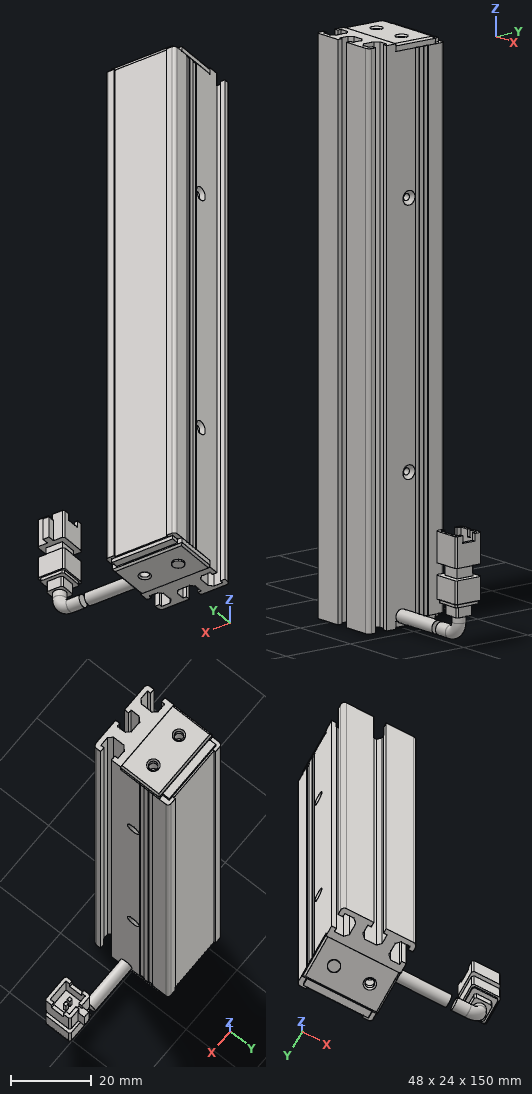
import cadquery as cq
import math


overall_length = 150.0
overall_width = 48.0
overall_depth = 24.0
end_screw_stand_out = 0.5

housing_length = overall_length - end_screw_stand_out
housing_width = 21.0
half_width = housing_width / 2
rear_corner_radius = 1.0
front_corner_radius = 0.9

cap_thickness = 2.0
cap_rear_y = 8.7
cap_front_y = 21.0
cap_chamfer = 0.52
cap_hole_pitch = 10.0
cap_hole_y = 14.7
cap_hole_diameter = 2.4
cap_hole_mouth_diameter = 3.3
cap_hole_depth = 6.0
drill_point_angle = 118

window_width = 18.3
window_front_y = 23.1
window_opening_width = 15.8
window_rib_height = 0.5
window_end_reach = 1.0

slot_opening = 3.5
slot_inner_width = 5.4
slot_lip = 1.4
slot_depth = 5.0
slot_corner_chamfer = 1.0
side_slot_y = 4.0

groove_width = 1.4
groove_depth = 0.3
groove_centres_y = (15.5, 18.2)

cross_hole_y = 12.8
cross_hole_pitch = 70.0
cross_hole_diameter = 1.8
cross_hole_mouth_diameter = 3.8
cross_hole_middle_z = 74.5

cable_diameter = 3.6
cable_y = 10.5
cable_z = 3.2
cable_break_start_x = 24.9
cable_break_end_x = 26.4
cable_bend_radius = 3.2
cable_sleeve_length = 1.8
bend_end_z = cable_z + cable_bend_radius

plug_start_z = bend_end_z + cable_sleeve_length
plug_width = 8.1
plug_x = overall_width - half_width - plug_width / 2
plug_corner_chamfer = 0.5
strain_relief_width = 5.0
strain_relief_height = 3.0
collar_width = 7.2
collar_height = 0.9
rear_block_height = 6.2
neck_width = 5.0
neck_height = 3.2
front_block_height = 8.1
socket_width = 6.2
socket_depth = 6.8
socket_slot_depth = 2.0
side_slot_width = 3.8
key_slot_width = 1.0
latch_width = 1.8
latch_stand_out = 2.0
pin_size = 0.9
pin_pitch = 1.5
pin_height = 3.8


def box(width, depth, height, x, y, z):
    """Block centred on (x, y) that rises from z."""
    return cq.Workplane("XY").box(width, depth, height, centered=(True, True, False)).translate((x, y, z))


def t_slot():
    """T-slot cutter that opens toward -Y at y = 0, centred on x = 0."""
    half_opening = slot_opening / 2
    half_inner = slot_inner_width / 2
    return (
        cq.Workplane("XY")
        .moveTo(-half_opening, 0)
        .lineTo(-half_opening, slot_lip)
        .lineTo(-half_inner, slot_lip)
        .lineTo(-half_inner, slot_depth - slot_corner_chamfer)
        .lineTo(-half_inner + slot_corner_chamfer, slot_depth)
        .lineTo(half_inner - slot_corner_chamfer, slot_depth)
        .lineTo(half_inner, slot_depth - slot_corner_chamfer)
        .lineTo(half_inner, slot_lip)
        .lineTo(half_opening, slot_lip)
        .lineTo(half_opening, 0)
        .close()
        .extrude(housing_length)
    )


def countersink(mouth_diameter, hole_diameter):
    """45-degree cone that narrows from its mouth at z = 0 down to the hole diameter."""
    depth = (mouth_diameter - hole_diameter) / 2
    return cq.Solid.makeCone(hole_diameter / 2, mouth_diameter / 2, depth, pnt=cq.Vector(0, 0, -depth))


def cross_hole(z):
    """Hole across the housing along X, countersunk at both sides."""
    hole = cq.Workplane("YZ").center(cross_hole_y, z).circle(cross_hole_diameter / 2)
    cutter = hole.extrude(half_width, both=True)
    cone = countersink(cross_hole_mouth_diameter, cross_hole_diameter)
    for side in (-1, 1):
        mouth = cone.rotate(cq.Vector(0, 0, 0), cq.Vector(0, 1, 0), side * 90)
        cutter = cutter.union(cq.Workplane(mouth.translate(cq.Vector(side * half_width, cross_hole_y, z))))
    return cutter


def drilled_hole():
    """Blind countersunk hole with a drill point, running down from z = 0."""
    radius = cap_hole_diameter / 2
    mouth_radius = cap_hole_mouth_diameter / 2
    point_length = radius / math.tan(math.radians(drill_point_angle / 2))
    return (
        cq.Workplane("XZ")
        .lineTo(mouth_radius, 0)
        .lineTo(radius, radius - mouth_radius)
        .lineTo(radius, -cap_hole_depth)
        .lineTo(0, -cap_hole_depth - point_length)
        .close()
        .revolve(360, (0, 0, 0), (0, 1, 0))
    )


def end_holes():
    """Blind holes in both ends, through the caps and into the housing."""
    upper = drilled_hole()
    lower = upper.mirror("XY")
    holes = cq.Workplane("XY")
    for side in (-1, 1):
        x = side * cap_hole_pitch / 2
        holes = holes.add(upper.translate((x, cap_hole_y, housing_length)))
        holes = holes.add(lower.translate((x, cap_hole_y, 0)))
    return holes.combine()


def housing_blank():
    """Full-length bar with all four long edges rounded."""
    bar = box(housing_width, overall_depth, housing_length, 0, overall_depth / 2, 0)
    bar = bar.edges("|Z and <Y").fillet(rear_corner_radius)
    return bar.edges("|Z and >Y").fillet(front_corner_radius)


def window_seat():
    """Cutter for the seat of the window and for the opening between the two front lips."""
    seat_depth = window_front_y - cap_front_y
    opening_depth = overall_depth - cap_front_y
    seat = box(window_width, seat_depth, housing_length, 0, cap_front_y + seat_depth / 2, 0)
    opening = box(
        window_opening_width, opening_depth, housing_length, 0, cap_front_y + opening_depth / 2, 0
    )
    return seat.union(opening)


def end_step(z):
    """Cutter that sets the front part of one housing end back to make room for a cap."""
    depth = overall_depth - cap_rear_y
    return box(housing_width, depth, cap_thickness, 0, cap_rear_y + depth / 2, z)


def make_housing():
    body = housing_blank().cut(window_seat())
    for z in (0, housing_length - cap_thickness):
        body = body.cut(end_step(z))

    slot = t_slot()
    body = body.cut(slot)
    for side in (-1, 1):
        turned_slot = slot.rotate((0, 0, 0), (0, 0, 1), side * 90)
        body = body.cut(turned_slot.translate((side * half_width, side_slot_y, 0)))
        for y in groove_centres_y:
            body = body.cut(box(2 * groove_depth, groove_width, housing_length, side * half_width, y, 0))
        body = body.cut(cross_hole(cross_hole_middle_z + side * cross_hole_pitch / 2))
    return body.cut(end_holes())


def make_cap():
    """Cap for the upper end, chamfered around its outer face except along the housing shoulder."""
    depth = cap_front_y - cap_rear_y
    y = cap_rear_y + depth / 2
    cap = box(housing_width, depth, cap_thickness, 0, y, housing_length - cap_thickness)
    return cap.faces(">Z").edges("|Y or >Y").chamfer(cap_chamfer)


def make_window():
    """Plate on the housing seat with a rib that fills the opening between the lips."""
    length = housing_length - 2 * (cap_thickness - window_end_reach)
    depth = window_front_y - cap_front_y
    plate = box(window_width, depth, length, 0, cap_front_y + depth / 2, cap_thickness - window_end_reach)
    rib_length = housing_length - 2 * cap_thickness
    rib_y = window_front_y + window_rib_height / 2
    rib = box(window_opening_width, window_rib_height, rib_length, 0, rib_y, cap_thickness)
    return plate.union(rib)


def make_end_screw():
    """Screw that fills one hole of the lower end and stands proud of the cap."""
    x = -cap_hole_pitch / 2
    head = cq.Workplane("XY").circle(cap_hole_mouth_diameter / 2).extrude(-end_screw_stand_out)
    return head.union(drilled_hole().mirror("XY")).translate((x, cap_hole_y, 0))


def make_cable_stub():
    start = cq.Workplane("YZ", origin=(half_width, cable_y, cable_z))
    return start.circle(cable_diameter / 2).extrude(cable_break_start_x - half_width)


def make_cable_end():
    """Cable that turns from +X up to +Z and enters the connector."""
    bend_start_x = plug_x - cable_bend_radius
    diagonal = cable_bend_radius * math.sqrt(0.5)
    path = (
        cq.Workplane("XZ", origin=(0, cable_y, 0))
        .moveTo(cable_break_end_x, cable_z)
        .lineTo(bend_start_x, cable_z)
        .threePointArc((bend_start_x + diagonal, bend_end_z - diagonal), (plug_x, bend_end_z))
        .lineTo(plug_x, plug_start_z)
    )
    section = cq.Workplane("YZ", origin=(cable_break_end_x, cable_y, cable_z)).circle(cable_diameter / 2)
    return section.sweep(path)


def make_connector():
    sections = (
        (strain_relief_width, strain_relief_height, True),
        (collar_width, collar_height, True),
        (plug_width, rear_block_height, True),
        (neck_width, neck_height, False),
        (plug_width, front_block_height, True),
    )
    plug = cq.Workplane("XY")
    z = plug_start_z
    for width, height, has_chamfers in sections:
        section = box(width, width, height, plug_x, cable_y, z)
        if has_chamfers:
            section = section.edges("|Z").chamfer(plug_corner_chamfer)
        plug = plug.add(section)
        z += height
    plug = plug.combine()

    socket_floor_z = z - socket_depth
    slot_z = z - socket_slot_depth
    plug = plug.cut(box(socket_width, socket_width, socket_depth, plug_x, cable_y, socket_floor_z))
    plug = plug.cut(box(plug_width, side_slot_width, socket_slot_depth, plug_x, cable_y, slot_z))
    plug = plug.cut(
        box(key_slot_width, plug_width / 2, socket_slot_depth, plug_x, cable_y + plug_width / 4, slot_z)
    )

    latch_y = cable_y + (plug_width + latch_stand_out) / 2
    block_z = z - front_block_height
    plug = plug.union(box(latch_width, latch_stand_out, slot_z - block_z, plug_x, latch_y, block_z))

    for side in (-1, 1):
        x = plug_x + side * pin_pitch / 2
        plug = plug.union(box(pin_size, pin_size, pin_height, x, cable_y, socket_floor_z))
    return plug


housing = make_housing()
plain_cap = make_cap()
upper_cap = plain_cap.cut(end_holes())
lower_cap = plain_cap.mirror("XY").translate((0, 0, housing_length)).cut(end_holes())
window = make_window()
end_screw = make_end_screw()
cable_stub = make_cable_stub()
cable_end = make_cable_end()
connector = make_connector()

result = cq.Compound.makeCompound(
    [
        housing.val(),
        upper_cap.val(),
        lower_cap.val(),
        window.val(),
        end_screw.val(),
        cable_stub.val(),
        cable_end.val(),
        connector.val(),
    ]
)